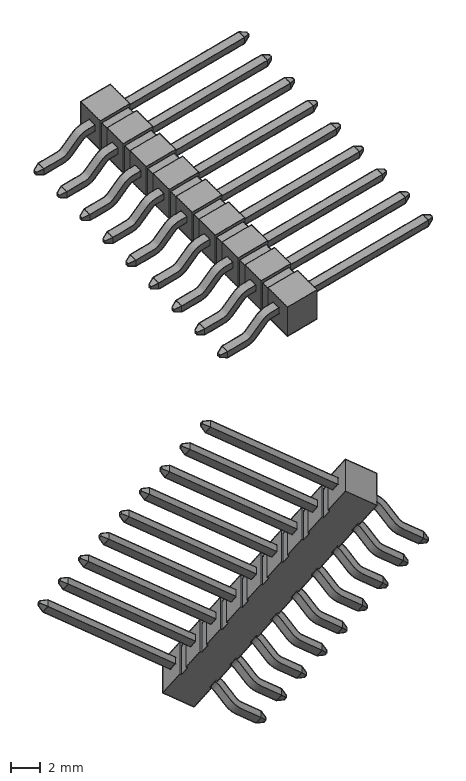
import cadquery as cq
import math

row_length = 22.85
pin_count = 9
pitch = row_length / pin_count
pin_positions = [(i - (pin_count - 1) / 2) * pitch for i in range(pin_count)]

housing_depth = 2.51
housing_height = 3.05
block_gap = 0.75
rail_inset = 0.128
rail_height = 2.75
front_face = -housing_depth / 2
back_face = housing_depth / 2

wire = pitch / 4
pin_height = 1.75
foot_height = wire / 2
tail_reach = 10.68
foot_reach = 4.85
tip_length = 0.5
tip_width = 0.25
tip_taper = math.degrees(math.atan((wire - tip_width) / 2 / tip_length))
tail_end = back_face + tail_reach - tip_length
foot_end = front_face - foot_reach + tip_length

bend_start = 0.57
bend_radius = 0.94
bend_angle = math.radians(45)


def make_housing():
    body = cq.Workplane("XY").box(row_length, housing_depth, housing_height, centered=(True, True, False))
    gap_centres = [(x + pitch / 2, 0) for x in pin_positions[:-1]]
    gaps = (
        cq.Workplane("XY")
        .pushPoints(gap_centres)
        .rect(block_gap, housing_depth)
        .extrude(housing_height)
    )
    rail = cq.Workplane("XY").box(
        row_length - pitch, housing_depth - 2 * rail_inset, rail_height, centered=(True, True, False)
    )
    return body.cut(gaps).union(rail)


def pin_centreline(x):
    bend_run = bend_radius * math.sin(bend_angle)
    bend_drop = bend_radius * (1 - math.cos(bend_angle))
    half_run = bend_radius * math.sin(bend_angle / 2)
    half_drop = bend_radius * (1 - math.cos(bend_angle / 2))
    slope_run = (pin_height - foot_height - 2 * bend_drop) / math.tan(bend_angle)

    upper_start = front_face - bend_start
    slope_start = upper_start - bend_run
    slope_end = slope_start - slope_run
    lower_end = slope_end - bend_run

    return (
        cq.Workplane("YZ", origin=(x, 0, 0))
        .moveTo(tail_end, pin_height)
        .lineTo(upper_start, pin_height)
        .threePointArc((upper_start - half_run, pin_height - half_drop), (slope_start, pin_height - bend_drop))
        .lineTo(slope_end, foot_height + bend_drop)
        .threePointArc((lower_end + half_run, foot_height + half_drop), (lower_end, foot_height))
        .lineTo(foot_end, foot_height)
    )


def wire_section(x, y, z, direction):
    plane = cq.Plane(origin=(x, y, z), xDir=(1, 0, 0), normal=(0, direction, 0))
    return cq.Workplane(plane).rect(wire, wire)


def make_pin(x):
    shaft = wire_section(x, tail_end, pin_height, -1).sweep(pin_centreline(x))
    tail_tip = wire_section(x, tail_end, pin_height, 1).extrude(tip_length, taper=tip_taper)
    foot_tip = wire_section(x, foot_end, foot_height, -1).extrude(tip_length, taper=tip_taper)
    return shaft.union(tail_tip).union(foot_tip)


housing = make_housing()
for x in pin_positions[1:-1]:
    housing = housing.union(make_pin(x))

end_pins = [make_pin(x) for x in (pin_positions[0], pin_positions[-1])]
for pin in end_pins:
    housing = housing.cut(pin)

result = cq.Compound.makeCompound([housing.solids().val(), *[pin.solids().val() for pin in end_pins]])